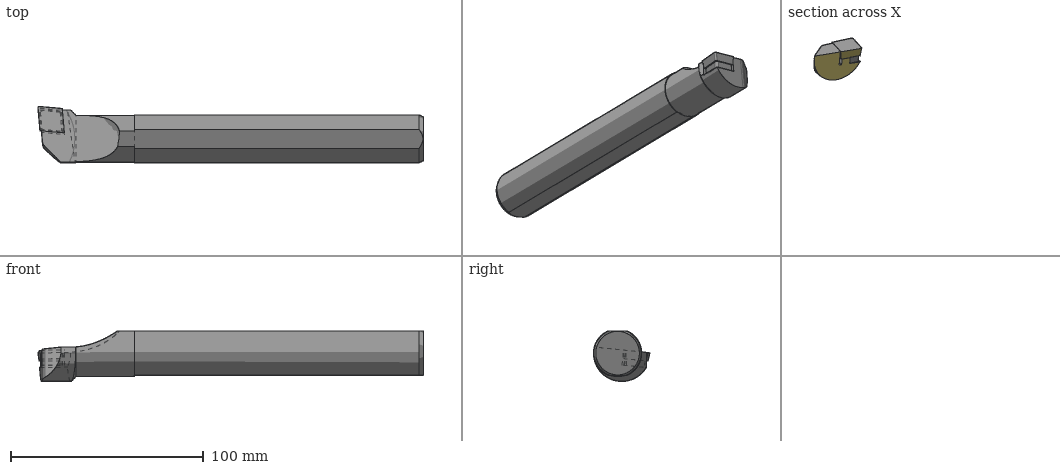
import cadquery as cq
import math


overall_length = 200.0
shank_diameter = 25.0
shank_radius = shank_diameter / 2
neck_radius = 12.2
shank_start = 50.0
width_across_flats = 23.0
flat_height = width_across_flats / 2
end_chamfer_length = 2.4
end_chamfer_depth = 1.2

head_diameter = 29.4
head_radius = head_diameter / 2
head_centre_y = head_radius - shank_radius
head_end = 19.8
rear_taper = 6.0
head_side_y = 15.0

rake_angle = 6.0
rake_height = 1.9

insert_edge = 12.8
insert_thickness = 4.4
lead_angle = 5.0
relief_angle = 7.0
nose_radius = 0.8
tip_x = -0.08
tip_y = 17.0

pad_thickness = 3.4
pad_inset = 1.2
pad_nose_radius = 1.2
pocket_depth = insert_thickness + pad_thickness

face_setback = 1.94
face_start_y = 4.0
nose_corner_y = -2.8
nose_blend_radius = 4.4
profile_reach = 20.0

scoop_centre_x = -8.0
scoop_floor_radius = 27.2
scoop_profile_radius = 32.0
scoop_sweep_angle = 60.0

block_size = 80.0

rake_normal = (0, math.sin(math.radians(rake_angle)), math.cos(math.radians(rake_angle)))
along_rake_normal = cq.selectors.ParallelDirSelector(cq.Vector(*rake_normal))
lead_slope = math.tan(math.radians(lead_angle))


def rake_plane(depth=0.0):
    """Workplane parallel to the rake face, a given depth below it."""
    frame = cq.Plane((0, 0, rake_height), (1, 0, 0), rake_normal)
    return cq.Workplane(frame).workplane(offset=-depth)


def rake_point(x, y, height):
    """Place of a point given in the rake plane's own coordinates."""
    return rake_plane().plane.toWorldCoords((x, y, height)).toTuple()


def rhombus_points(inset=0.0):
    """Corners of the insert outline, moved inward by inset: tip, rear, inner, front."""
    lead = math.radians(lead_angle)
    nose_half_angle = math.radians(90 - 2 * lead_angle) / 2
    tip_shift = inset / math.sin(nose_half_angle) / math.sqrt(2)
    edge = insert_edge - 2 * inset / math.sin(2 * nose_half_angle)
    along = (edge * math.cos(lead), -edge * math.sin(lead))
    across = (edge * math.sin(lead), -edge * math.cos(lead))
    x, y = tip_x + tip_shift, tip_y - tip_shift
    return [
        (x, y),
        (x + along[0], y + along[1]),
        (x + along[0] + across[0], y + along[1] + across[1]),
        (x + across[0], y + across[1]),
    ]


def make_insert():
    plate = rake_plane().polyline(rhombus_points()).close().extrude(-insert_thickness, taper=relief_angle)
    tip_edge = cq.selectors.NearestToPointSelector(rake_point(tip_x, tip_y, -insert_thickness / 2))
    return plate.edges(tip_edge).fillet(nose_radius)


def make_seat_pad():
    pad = rake_plane(pocket_depth).polyline(rhombus_points(pad_inset)).close().extrude(pad_thickness)
    tip_edge = cq.selectors.NearestToPointSelector(rake_point(tip_x, tip_y, -pocket_depth))
    return pad.edges(along_rake_normal).edges(tip_edge).fillet(pad_nose_radius)


def make_pocket():
    """Cavity with walls along the two inner edges of the insert, open to the front and +Y."""
    inner = rhombus_points()[2]
    outline = [
        inner,
        (inner[0] - profile_reach, inner[1] + profile_reach * lead_slope),
        (inner[0] - profile_reach, inner[1] + profile_reach),
        (inner[0] - profile_reach * lead_slope, inner[1] + profile_reach),
    ]
    return rake_plane(pocket_depth).polyline(outline).close().extrude(pocket_depth)


def make_shank():
    neck = cq.Workplane("YZ").circle(neck_radius).extrude(shank_start)
    top_cut = cq.Workplane("XY").workplane(offset=flat_height).rect(3 * overall_length, block_size)
    neck = neck.cut(top_cut.extrude(block_size))
    end_radius = shank_radius - end_chamfer_depth
    shank = (
        cq.Workplane("XY")
        .moveTo(shank_start, 0)
        .lineTo(shank_start, shank_radius)
        .lineTo(overall_length - end_chamfer_length, shank_radius)
        .lineTo(overall_length, end_radius)
        .lineTo(overall_length, 0)
        .close()
        .revolve(360, (0, 0, 0), (1, 0, 0))
    )
    flats_slab = cq.Workplane("XY").box(3 * overall_length, block_size, width_across_flats)
    return neck.union(shank.intersect(flats_slab))


def make_head():
    """Eccentric head tapering at 45 degrees down to the neck behind it."""
    side_drop = math.sqrt(head_radius**2 - (head_side_y - head_centre_y) ** 2)
    diagonal = shank_radius * math.sqrt(0.5)
    head = (
        cq.Workplane("YZ")
        .moveTo(-shank_radius, 0)
        .threePointArc((head_centre_y, -head_radius), (head_side_y, -side_drop))
        .lineTo(head_side_y, shank_radius)
        .lineTo(0, shank_radius)
        .threePointArc((-diagonal, diagonal), (-shank_radius, 0))
        .close()
        .extrude(head_end)
    )
    rear_cone = (
        cq.Workplane("YZ")
        .circle(neck_radius + rear_taper)
        .extrude(head_end)
        .faces(">X")
        .chamfer(rear_taper)
    )
    return head.intersect(rear_cone)


def make_front_trim():
    """Block in front of the head: angled front face, rounded nose and 45 degree corner."""
    nose_x = face_setback + (face_start_y - nose_corner_y) * lead_slope
    top_x = nose_x - (profile_reach - nose_corner_y) * lead_slope
    outline = [
        (top_x, profile_reach),
        (nose_x, nose_corner_y),
        (nose_x + profile_reach, nose_corner_y - profile_reach),
        (-profile_reach, nose_corner_y - profile_reach),
        (-profile_reach, profile_reach),
    ]
    trim = rake_plane(block_size / 2).polyline(outline).close().extrude(block_size)
    nose_edge = cq.selectors.NearestToPointSelector(rake_point(nose_x, nose_corner_y, 0))
    return trim.edges(along_rake_normal).edges(nose_edge).fillet(nose_blend_radius)


def make_scoop():
    def rim(angle):
        return (
            scoop_floor_radius + scoop_profile_radius * math.sin(angle),
            scoop_profile_radius * (1 - math.cos(angle)),
        )

    axis_base = rake_plane().center(scoop_centre_x, 0).plane.origin
    section = cq.Plane(axis_base, (1, 0, 0), (0, -rake_normal[2], rake_normal[1]))
    sweep = math.radians(scoop_sweep_angle)
    top = rim(sweep)
    return (
        cq.Workplane(section)
        .lineTo(scoop_floor_radius, 0)
        .threePointArc(rim(sweep / 2), top)
        .lineTo(0, top[1])
        .close()
        .revolve(360, (0, 0, 0), (0, 1, 0))
    )


def make_holder():
    holder = make_shank().union(make_head())
    holder = holder.cut(make_scoop()).cut(make_front_trim()).cut(make_pocket())
    return holder.union(make_seat_pad())


holder = make_holder()
insert = make_insert()
result = cq.Compound.makeCompound([holder.solids().val(), insert.solids().val()])